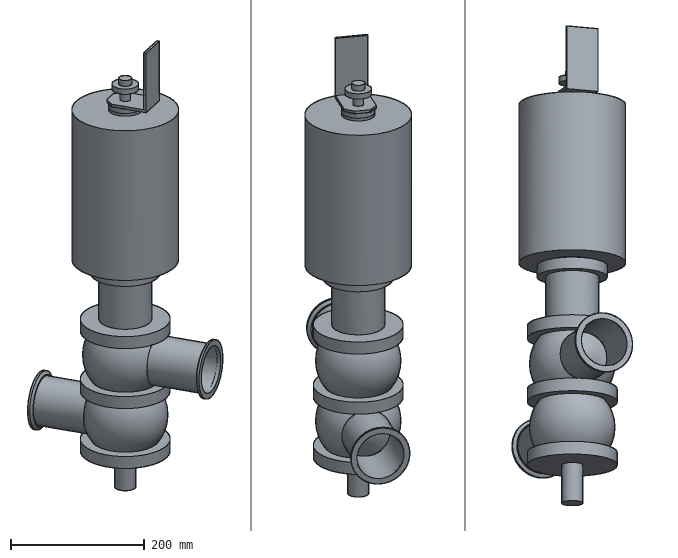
import cadquery as cq
import math

stub_diameter = 32.0
stub_length = 59.0

flange_diameter = 135.0
flange_thickness = 19.5
ball_diameter = 128.5
chamber_height = 78.5
flange_pitch = flange_thickness + chamber_height
top_flange_top = stub_length + 2 * flange_pitch + flange_thickness

pipe_diameter = 76.0
bore_diameter = 72.5
port_reach = 140.0
lip_diameter = 91.0
lip_thickness = 3.5
lip_taper_diameter = 80.0
lip_taper_length = 3.0
bore_end = math.sqrt(ball_diameter**2 - pipe_diameter**2) / 2
bore_cone_height = 13.0

neck_diameter = 80.0
collar_diameter = 105.0
collar_bottom = 350.0
collar_thickness = 17.5
actuator_diameter = 160.5
actuator_bottom = 371.5
actuator_top = 616.0

boss_diameter = 50.0
boss_height = 4.0
indicator_base = actuator_top + boss_height
plate_bottom = 628.5
plate_thickness = 4.0
plate_top = plate_bottom + plate_thickness
plate_width = boss_diameter
plate_left = -plate_width / 2
plate_right = 45.0
plate_corner = 13.0
overall_height = 726.0

stem_diameter = 16.0
knob_bottom = 649.5
knob_thickness = 9.0
knob_diameter = 40.0
knob_top = knob_bottom + knob_thickness
tip_diameter = 19.5
tip_top = 668.0


def disc(diameter, bottom, top):
    """Upright cylinder between two heights."""
    return cq.Workplane("XY").workplane(offset=bottom).circle(diameter / 2).extrude(top - bottom)


def chamber(bottom):
    """Ball cut flat at the flanges above and below it."""
    ball = cq.Workplane("XY").sphere(ball_diameter / 2).translate((0, 0, bottom + chamber_height / 2))
    return ball.intersect(disc(ball_diameter, bottom, bottom + chamber_height))


def along_port(profile, direction, height):
    """Revolve a (distance, radius) profile about X, then face it along +X (1) or -X (-1)."""
    solid = cq.Workplane("XZ").polyline(profile).close().revolve(360, (0, 0, 0), (1, 0, 0))
    if direction < 0:
        solid = solid.rotate((0, 0, 0), (0, 0, 1), 180)
    return solid.translate((0, 0, height))


def port_outside(direction, height):
    """Pipe from the chamber centre with a tapered clamp lip at its mouth."""
    lip_back = port_reach - lip_thickness
    taper_start = lip_back - lip_taper_length
    profile = [
        (0, 0),
        (0, pipe_diameter / 2),
        (taper_start, pipe_diameter / 2),
        (taper_start, lip_taper_diameter / 2),
        (lip_back, lip_diameter / 2),
        (port_reach, lip_diameter / 2),
        (port_reach, 0),
    ]
    return along_port(profile, direction, height)


def port_bore(direction, height):
    """Blind bore whose floor rises as a shallow cone towards the mouth."""
    profile = [
        (bore_end + bore_cone_height, 0),
        (bore_end, bore_diameter / 2),
        (port_reach, bore_diameter / 2),
        (port_reach, 0),
    ]
    return along_port(profile, direction, height)


def make_valve():
    """Stub, flanges, chambers, ports, neck and actuator as one solid."""
    valve = disc(stub_diameter, 0, stub_length)
    for level in range(3):
        bottom = stub_length + level * flange_pitch
        valve = valve.union(disc(flange_diameter, bottom, bottom + flange_thickness))

    for level, direction in enumerate((-1, 1)):
        bottom = stub_length + flange_thickness + level * flange_pitch
        centre = bottom + chamber_height / 2
        valve = valve.union(chamber(bottom)).union(port_outside(direction, centre))
        valve = valve.cut(port_bore(direction, centre))

    valve = valve.union(disc(neck_diameter, top_flange_top, actuator_bottom))
    valve = valve.union(disc(collar_diameter, collar_bottom, collar_bottom + collar_thickness))
    valve = valve.union(disc(actuator_diameter, actuator_bottom, actuator_top))
    return valve.union(disc(boss_diameter, actuator_top, indicator_base))


def make_bracket():
    """L-shaped plate with two clipped corners on its free end."""
    profile = [
        (plate_left, plate_bottom),
        (plate_right, plate_bottom),
        (plate_right, overall_height),
        (plate_right - plate_thickness, overall_height),
        (plate_right - plate_thickness, plate_top),
        (plate_left, plate_top),
    ]
    bracket = cq.Workplane("XZ").polyline(profile).close().extrude(plate_width / 2, both=True)
    return bracket.edges("|Z and <X").chamfer(plate_corner)


def make_indicator():
    """Base disc, bracket, stem and knob as one solid."""
    indicator = disc(boss_diameter, indicator_base, plate_bottom).union(make_bracket())
    indicator = indicator.union(disc(stem_diameter, plate_top, knob_bottom))
    indicator = indicator.union(disc(knob_diameter, knob_bottom, knob_top))
    return indicator.union(disc(tip_diameter, knob_top, tip_top))


valve = make_valve()
indicator = make_indicator()

result = cq.Compound.makeCompound([valve.solids().val(), indicator.solids().val()])